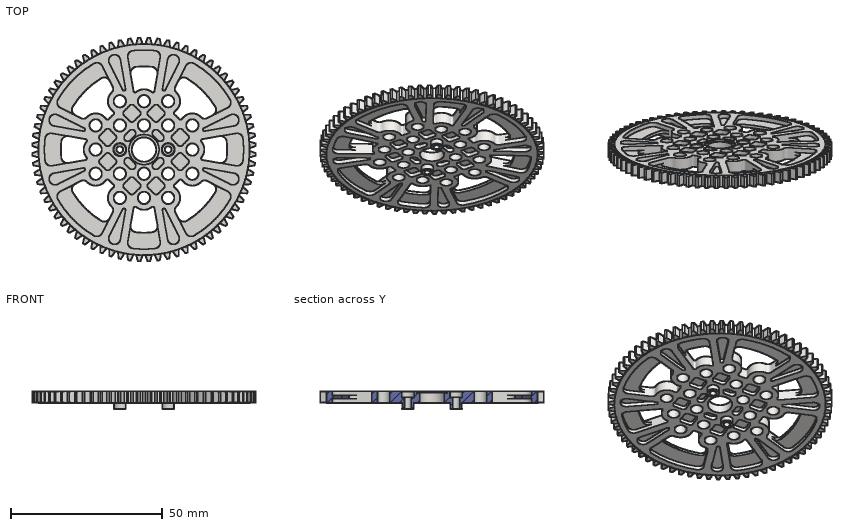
import cadquery as cq
import math

OUTER_SIZE = 74.05
PLATE_THICKNESS = 4.0
PLATE_RADIUS = 34.95
TOOTH_INSET = 0.15
POCKET_DEPTH = 1.5
SMALL_FILLET = 0.5

QUARTERS = (0, 90, 180, 270)

TOOTH_COUNT = 72
PRESSURE_ANGLE = math.radians(20)
MODULE = OUTER_SIZE / (TOOTH_COUNT + 2)
PITCH_RADIUS = MODULE * TOOTH_COUNT / 2
BASE_RADIUS = PITCH_RADIUS * math.cos(PRESSURE_ANGLE)
ROOT_RADIUS = 34.8

GRID_PITCH = 8.0
GRID_REACH = 2
HOLE_DIAMETER = 4.0
LOBE_RADIUS = HOLE_DIAMETER

BORE_DIAMETER = 8.0
COUNTERBORE_DIAMETER = 10.0
COUNTERBORE_DEPTH = 0.6

PEG_DIAMETER = HOLE_DIAMETER
PEG_LENGTH = 2.0
PEG_CHAMFER = 0.185
PEG_BORE_DIAMETER = 2.15
PEG_RECESS_DEPTH = 2.1

LEDGE_OUTER_RADIUS = 32.95
WINDOW_OUTER_RADIUS = 27.5
WINDOW_CORNER_RADIUS = 2.0
LOBE_CORNER_RADIUS = 1.5
STRAIGHT_HALF_ANGLE = math.radians(10)
STRAIGHT_SIDE = math.radians(90) - STRAIGHT_HALF_ANGLE
DIAGONAL_SIDE = math.atan2(2, 1)
DIAGONAL_HALF_ANGLE = DIAGONAL_SIDE - math.radians(45)
NOTCH_END = 15.4

RIB_WIDTH = 2.5

DIAMOND_SIDE = 4.7
DIAMOND_CORNER_RADIUS = 0.95
SLOT_LENGTH = 4.45
SLOT_WIDTH = 2.45
SLOT_OFFSET = 4.7


def polar(radius, angle):
    return (radius * math.cos(angle), radius * math.sin(angle))


def involute(angle):
    return math.tan(angle) - angle


def tooth_half_angle(radius):
    """Half of the angle that an involute tooth covers at a radius."""
    flank = involute(math.acos(BASE_RADIUS / radius))
    return math.pi / (2 * TOOTH_COUNT) + involute(PRESSURE_ANGLE) - flank


def make_toothed_ring():
    """Gear with a tooth gap on each axis; its tip corners give the outer size."""
    step = 2 * math.pi / TOOTH_COUNT
    tip_half = tooth_half_angle(OUTER_SIZE / 2)
    pitch_half = tooth_half_angle(PITCH_RADIUS)
    root_half = tooth_half_angle(ROOT_RADIUS)
    tip_radius = OUTER_SIZE / 2 / math.cos(step / 2 - tip_half)

    outline = cq.Workplane("XY").workplane(offset=TOOTH_INSET)
    outline = outline.moveTo(*polar(ROOT_RADIUS, step / 2 - root_half))
    for tooth in range(TOOTH_COUNT):
        middle = (tooth + 0.5) * step
        gap_middle = middle + step / 2
        next_root = middle + step - root_half
        tip_start = polar(tip_radius, middle - tip_half)
        outline = (
            outline.threePointArc(polar(PITCH_RADIUS, middle - pitch_half), tip_start)
            .threePointArc(polar(tip_radius, middle), polar(tip_radius, middle + tip_half))
            .threePointArc(polar(PITCH_RADIUS, middle + pitch_half), polar(ROOT_RADIUS, middle + root_half))
            .threePointArc(polar(ROOT_RADIUS, gap_middle), polar(ROOT_RADIUS, next_root))
        )
    return outline.close().circle(LEDGE_OUTER_RADIUS + 0.75).extrude(PLATE_THICKNESS - 2 * TOOTH_INSET)


def near_radius(solid, low, high):
    """Upright edges of a cutter whose distance from the Z axis is in a range."""

    def in_range(edge):
        center = edge.Center()
        return low < math.hypot(center.x, center.y) < high

    return solid.edges("|Z").filter(in_range)


def straight_window(outer_radius, bottom):
    """Cutter along +X: a sector whose inner end follows the lobe of the hole there."""
    lobe_center = GRID_REACH * GRID_PITCH
    along = lobe_center * math.cos(STRAIGHT_HALF_ANGLE)
    across = lobe_center * math.sin(STRAIGHT_HALF_ANGLE)
    inner_radius = along + math.sqrt(LOBE_RADIUS**2 - across**2)
    cutter = (
        cq.Workplane("XY")
        .workplane(offset=bottom)
        .moveTo(*polar(inner_radius, -STRAIGHT_HALF_ANGLE))
        .lineTo(*polar(outer_radius, -STRAIGHT_HALF_ANGLE))
        .threePointArc((outer_radius, 0), polar(outer_radius, STRAIGHT_HALF_ANGLE))
        .lineTo(*polar(inner_radius, STRAIGHT_HALF_ANGLE))
        .threePointArc((lobe_center + LOBE_RADIUS, 0), polar(inner_radius, -STRAIGHT_HALF_ANGLE))
        .close()
        .extrude(PLATE_THICKNESS - bottom)
    )
    cutter = near_radius(cutter, outer_radius - 0.75, outer_radius + 0.75).fillet(WINDOW_CORNER_RADIUS)
    return near_radius(cutter, inner_radius - 0.75, inner_radius + 0.75).fillet(SMALL_FILLET)


def diagonal_window(outer_radius, bottom):
    """Cutter along +X: a sector that narrows to a flat-ended notch between two lobes."""
    half = DIAGONAL_HALF_ANGLE
    lobe_distance = GRID_PITCH * math.hypot(1, 2)
    lobe_x, lobe_y = polar(lobe_distance, half)
    notch_half = lobe_y - LOBE_RADIUS
    inner_radius = lobe_distance + LOBE_RADIUS
    arc_middle = (math.radians(-90) + half) / 2
    bulge_x, bulge_y = polar(LOBE_RADIUS, arc_middle)
    bulge = (lobe_x + bulge_x, lobe_y + bulge_y)
    cutter = (
        cq.Workplane("XY")
        .workplane(offset=bottom)
        .moveTo(NOTCH_END, -notch_half)
        .lineTo(lobe_x, -notch_half)
        .threePointArc((bulge[0], -bulge[1]), polar(inner_radius, -half))
        .lineTo(*polar(outer_radius, -half))
        .threePointArc((outer_radius, 0), polar(outer_radius, half))
        .lineTo(*polar(inner_radius, half))
        .threePointArc(bulge, (lobe_x, notch_half))
        .lineTo(NOTCH_END, notch_half)
        .close()
        .extrude(PLATE_THICKNESS - bottom)
    )
    cutter = near_radius(cutter, outer_radius - 0.75, outer_radius + 0.75).fillet(WINDOW_CORNER_RADIUS)
    cutter = near_radius(cutter, inner_radius - 0.75, inner_radius + 0.75).fillet(LOBE_CORNER_RADIUS)
    notch_radius = math.hypot(NOTCH_END, notch_half)
    return near_radius(cutter, notch_radius - 0.4, notch_radius + 0.4).fillet(SMALL_FILLET)


def tapered_pocket():
    """Cutter along +X: two arcs joined by tangent lines, a rib away from both windows."""
    taper = (STRAIGHT_SIDE - DIAGONAL_SIDE) / 2
    slope = math.sin(taper)
    apex = RIB_WIDTH / slope
    big_center = (LEDGE_OUTER_RADIUS + apex * slope) / (1 + slope)
    big_radius = LEDGE_OUTER_RADIUS - big_center
    tip_center = apex + SMALL_FILLET / slope
    tangent = math.radians(90) + taper
    big_x, big_y = polar(big_radius, tangent)
    tip_x, tip_y = polar(SMALL_FILLET, tangent)
    return (
        cq.Workplane("XY")
        .workplane(offset=PLATE_THICKNESS - POCKET_DEPTH)
        .moveTo(tip_center + tip_x, -tip_y)
        .lineTo(big_center + big_x, -big_y)
        .threePointArc((LEDGE_OUTER_RADIUS, 0), (big_center + big_x, big_y))
        .lineTo(tip_center + tip_x, tip_y)
        .threePointArc((tip_center - SMALL_FILLET, 0), (tip_center + tip_x, -tip_y))
        .close()
        .extrude(POCKET_DEPTH)
    )


def on_both_faces(cutter):
    """Adds the mirror image of a top pocket, cut into the bottom of the plate."""
    return cutter.union(cutter.mirror("XY", (0, 0, PLATE_THICKNESS / 2)))


def cut_at_angles(body, cutter, angles):
    for angle in angles:
        body = body.cut(cutter.rotate((0, 0, 0), (0, 0, 1), angle))
    return body


def cut_windows(body):
    """Through windows, with a pocket around each that leaves a ledge at mid thickness."""
    ledge_top = PLATE_THICKNESS - POCKET_DEPTH
    for window, first_angle in ((straight_window, 0), (diagonal_window, 45)):
        angles = [first_angle + quarter for quarter in QUARTERS]
        body = cut_at_angles(body, window(WINDOW_OUTER_RADIUS, 0), angles)
        body = cut_at_angles(body, on_both_faces(window(LEDGE_OUTER_RADIUS, ledge_top)), angles)
    return body


def cut_tapered_pockets(body):
    middle = math.degrees((STRAIGHT_SIDE + DIAGONAL_SIDE) / 2)
    angles = []
    for quarter in QUARTERS:
        angles += [quarter + middle, quarter + 90 - middle]
    return cut_at_angles(body, on_both_faces(tapered_pocket()), angles)


def cut_grid_holes(body):
    """Through holes on the grid, without its corners, the bore and the two pegs."""
    steps = range(-GRID_REACH, GRID_REACH + 1)
    points = []
    for column in steps:
        for row in steps:
            corner = abs(column) == GRID_REACH and abs(row) == GRID_REACH
            bore_or_peg = abs(column) <= 1 and row == 0
            if not corner and not bore_or_peg:
                points.append((column * GRID_PITCH, row * GRID_PITCH))
    holes = cq.Workplane("XY").pushPoints(points).circle(HOLE_DIAMETER / 2).extrude(PLATE_THICKNESS)
    return body.cut(holes)


def cut_hub_pockets(body):
    pocket_floor = cq.Workplane("XY").workplane(offset=PLATE_THICKNESS - POCKET_DEPTH)
    diamond = (
        pocket_floor.rect(DIAMOND_SIDE, DIAMOND_SIDE)
        .extrude(POCKET_DEPTH)
        .edges("|Z")
        .fillet(DIAMOND_CORNER_RADIUS)
        .rotate((0, 0, 0), (0, 0, 1), 45)
    )
    diamond = on_both_faces(diamond)
    near = GRID_PITCH / 2
    far = 3 * near
    for x_sign in (-1, 1):
        for y_sign in (-1, 1):
            for x, y in ((near, far), (far, near)):
                body = body.cut(diamond.translate((x_sign * x, y_sign * y, 0)))
            slot = pocket_floor.center(x_sign * SLOT_OFFSET, y_sign * SLOT_OFFSET)
            slot = slot.slot2D(SLOT_LENGTH, SLOT_WIDTH, -45 * x_sign * y_sign)
            body = body.cut(on_both_faces(slot.extrude(POCKET_DEPTH)))
    return body


def cut_bore(body):
    return (
        body.faces(">Z")
        .workplane(origin=(0, 0, 0))
        .cboreHole(BORE_DIAMETER, COUNTERBORE_DIAMETER, COUNTERBORE_DEPTH)
    )


def add_pegs(body):
    """Hollow pegs under the plate, each below a chamfered recess in its top."""
    peg = cq.Workplane("XY").circle(PEG_DIAMETER / 2).extrude(-PEG_LENGTH)
    peg = peg.faces("<Z").edges().chamfer(PEG_CHAMFER)
    recess = cq.Workplane("XY").workplane(offset=PLATE_THICKNESS - PEG_RECESS_DEPTH)
    recess = recess.circle(PEG_DIAMETER / 2).extrude(PEG_RECESS_DEPTH)
    mouth = cq.Workplane("XY").workplane(offset=PLATE_THICKNESS)
    mouth = mouth.circle(PEG_DIAMETER / 2 + PEG_CHAMFER).extrude(-PEG_CHAMFER)
    mouth = mouth.faces("<Z").edges().chamfer(PEG_CHAMFER * 0.999)
    bore = cq.Workplane("XY").workplane(offset=-PEG_LENGTH)
    bore = bore.circle(PEG_BORE_DIAMETER / 2).extrude(PEG_LENGTH + PLATE_THICKNESS)
    hollow = recess.union(mouth).union(bore)
    for x in (-GRID_PITCH, GRID_PITCH):
        body = body.union(peg.translate((x, 0, 0)))
        body = body.cut(hollow.translate((x, 0, 0)))
    return body


plate = cq.Workplane("XY").circle(PLATE_RADIUS).extrude(PLATE_THICKNESS)
plate = cut_windows(plate)
plate = cut_tapered_pockets(plate)
plate = cut_grid_holes(plate)
plate = cut_hub_pockets(plate)
plate = cut_bore(plate)
plate = add_pegs(plate)
result = plate.union(make_toothed_ring())